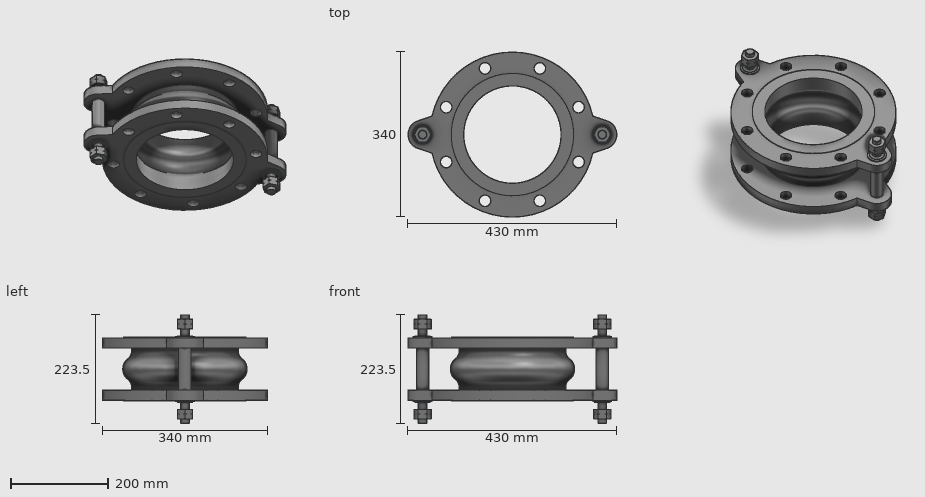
import cadquery as cq
import math


overall_length = 430.0
flange_diameter = 340.0
flange_inner_z = 43.5
flange_thickness = 21.0
flange_outer_z = flange_inner_z + flange_thickness
raised_face_diameter = 252.0
raised_face_height = 1.5
bolt_hole_diameter = 23.0
bolt_circle_radius = 147.5
bolt_hole_count = 8

lug_radius = 30.0
lug_root_half_width = 38.3
rod_offset = overall_length / 2 - lug_radius

bore_diameter = 200.0
neck_diameter = 220.0
bulge_diameter = 256.0
neck_end_z = 36.5
bulge_end_z = 21.0

rod_diameter = 18.0
rod_length = 223.5
rod_chamfer = 1.0
spacer_diameter = 26.0
washer_diameter = 39.0
washer_thickness = 2.5
washer_step_diameter = 31.0
washer_step_height = 1.5

nut_across_flats = 31.5
nut_across_corners = nut_across_flats / math.cos(math.radians(30))
nut_start_z = 83.0
thin_nut_height = 10.0
nut_chamfer_diameter = 33.0
nut_chamfer_angle = 30.0


def cylinder(diameter, start_z, height):
    return cq.Workplane("XY").workplane(offset=start_z).circle(diameter / 2).extrude(height)


def make_lug():
    """Lug on the +X side: a round end with straight flanks tangent to it."""
    root_x = math.sqrt((flange_diameter / 2) ** 2 - lug_root_half_width**2)
    root_dx = root_x - rod_offset
    root_distance = math.hypot(root_dx, lug_root_half_width)
    tangent_angle = math.atan2(lug_root_half_width, root_dx) - math.acos(lug_radius / root_distance)
    tangent_x = rod_offset + lug_radius * math.cos(tangent_angle)
    tangent_y = lug_radius * math.sin(tangent_angle)
    return (
        cq.Workplane("XY")
        .workplane(offset=flange_inner_z)
        .moveTo(0, -lug_root_half_width)
        .lineTo(root_x, -lug_root_half_width)
        .lineTo(tangent_x, -tangent_y)
        .threePointArc((rod_offset + lug_radius, 0), (tangent_x, tangent_y))
        .lineTo(root_x, lug_root_half_width)
        .lineTo(0, lug_root_half_width)
        .close()
        .extrude(flange_thickness)
    )


def make_flange():
    """Upper flange with its two lugs, raised face and bolt holes, without the bore."""
    lug = make_lug()
    flange = cylinder(flange_diameter, flange_inner_z, flange_thickness)
    flange = flange.union(lug).union(lug.mirror("YZ"))
    flange = flange.union(cylinder(raised_face_diameter, flange_outer_z, raised_face_height))
    holes = (
        cq.Workplane("XY")
        .workplane(offset=flange_inner_z)
        .polarArray(bolt_circle_radius, 180 / bolt_hole_count, 360, bolt_hole_count)
        .circle(bolt_hole_diameter / 2)
        .extrude(flange_thickness)
    )
    return flange.cut(holes)


def bellows_body(neck_radius):
    """Solid of revolution: a neck at each end, flared by tangent arcs into a round bulge."""
    half_length = flange_outer_z + raised_face_height
    rise = (bulge_diameter - neck_diameter) / 2
    sweep = 2 * math.atan(rise / neck_end_z)
    bulge_arc_radius = bulge_end_z / math.sin(sweep)
    flare_arc_radius = (neck_end_z - bulge_end_z) / math.sin(sweep)
    bulge_radius = neck_radius + rise
    junction_r = neck_radius + flare_arc_radius * (1 - math.cos(sweep))
    flare_mid_r = neck_radius + flare_arc_radius * (1 - math.cos(sweep / 2))
    flare_mid_z = neck_end_z - flare_arc_radius * math.sin(sweep / 2)
    return (
        cq.Workplane("XZ")
        .moveTo(0, -half_length)
        .lineTo(neck_radius, -half_length)
        .lineTo(neck_radius, -neck_end_z)
        .threePointArc((flare_mid_r, -flare_mid_z), (junction_r, -bulge_end_z))
        .threePointArc((bulge_radius, 0), (junction_r, bulge_end_z))
        .threePointArc((flare_mid_r, flare_mid_z), (neck_radius, neck_end_z))
        .lineTo(neck_radius, half_length)
        .lineTo(0, half_length)
        .close()
        .revolve(360, (0, 0, 0), (0, 1, 0))
    )


def make_nut_pair():
    """Two thin hex nuts stacked on z = 0, each with its top corners chamfered by a cone."""
    corner_radius = nut_across_corners / 2
    chamfer_radius = nut_chamfer_diameter / 2
    corner_drop = (corner_radius - chamfer_radius) * math.tan(math.radians(nut_chamfer_angle))
    envelope = (
        cq.Workplane("XZ")
        .lineTo(corner_radius, 0)
        .lineTo(corner_radius, thin_nut_height - corner_drop)
        .lineTo(chamfer_radius, thin_nut_height)
        .lineTo(0, thin_nut_height)
        .close()
        .revolve(360, (0, 0, 0), (0, 1, 0))
    )
    hexagon = cq.Workplane("XY").polygon(6, nut_across_corners).extrude(thin_nut_height)
    thin_nut = hexagon.intersect(envelope)
    return thin_nut.union(thin_nut.translate((0, 0, thin_nut_height)))


def make_end_hardware():
    """Stepped washer and nut pair at the upper end of a tie rod."""
    washer = cylinder(washer_diameter, flange_outer_z, washer_thickness)
    washer_step = cylinder(washer_step_diameter, flange_outer_z + washer_thickness, washer_step_height)
    nut_pair = make_nut_pair().translate((0, 0, nut_start_z))
    return washer.union(washer_step).union(nut_pair)


def make_tie_rod():
    """Rod with a spacer tube between the flanges and hardware at both ends."""
    rod = cylinder(rod_diameter, -rod_length / 2, rod_length)
    rod = rod.faces("<Z or >Z").chamfer(rod_chamfer)
    spacer = cylinder(spacer_diameter, -flange_inner_z, 2 * flange_inner_z)
    hardware = make_end_hardware()
    return rod.union(spacer).union(hardware).union(hardware.mirror("XY"))


upper_flange = make_flange()
result = bellows_body(neck_diameter / 2).union(upper_flange).union(upper_flange.mirror("XY"))

result = result.cut(bellows_body(bore_diameter / 2))

tie_rod = make_tie_rod()
for side in (-1, 1):
    result = result.union(tie_rod.translate((side * rod_offset, 0, 0)))